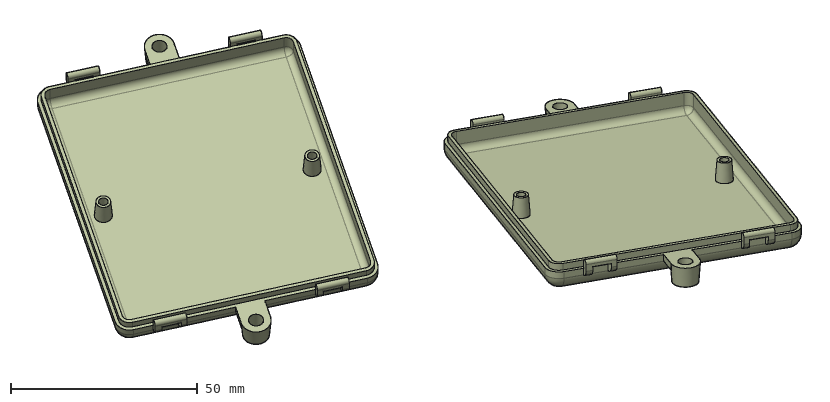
import cadquery as cq
import math

TOTAL_LENGTH = 104.5
LID_LENGTH = 85.0
LID_WIDTH = 73.0
STEP_HEIGHT = 6.0
LIP_HEIGHT = 7.9
EDGE_RADIUS = 4.0
LIP_INSET = 0.99
WALL = 2 * LIP_INSET
FILLET_EASE = 0.01

POST_SPACING = 58.1
POST_BASE_DIAMETER = 5.0
POST_TOP_DIAMETER = 4.0
POST_TOP = LIP_HEIGHT
PILOT_DIAMETER = 2.5

EAR_TOP_DIAMETER = 8.2
EAR_BOTTOM_DIAMETER = 7.3
EAR_HOLE_DIAMETER = 4.0
EAR_X = (TOTAL_LENGTH - EAR_TOP_DIAMETER) / 2
WEB_BOTTOM = EDGE_RADIUS

CLIP_WIDTH = 8.9
CLIP_SPACING = 45.1
CLIP_THICKNESS = 2.0
CLIP_TOP = 9.0
WINDOW_WIDTH = 5.0
WINDOW_TOP = 7.0
WINDOW_FLARE = 0.3


def rounded_block(inset, bottom, top):
    """Plan outline of the lid, moved inwards by inset, extruded from bottom to top."""
    return (
        cq.Workplane("XY")
        .workplane(offset=bottom)
        .rect(LID_LENGTH - 2 * inset, LID_WIDTH - 2 * inset)
        .extrude(top - bottom)
        .edges("|Z")
        .fillet(EDGE_RADIUS - inset)
    )


def rounded_tray(inset, top):
    """Block with a rounded bottom edge that follows the bottom edge of the lid."""
    radius = EDGE_RADIUS - inset
    return rounded_block(inset, inset, top).faces("<Z").edges().fillet(radius - FILLET_EASE)


def cone(x, y, bottom, top, bottom_diameter, top_diameter):
    """Upright tapered pin."""
    return (
        cq.Workplane("XY", origin=(x, y, bottom))
        .circle(bottom_diameter / 2)
        .workplane(offset=top - bottom)
        .circle(top_diameter / 2)
        .loft()
    )


def drill(x, y, bottom, top, diameter):
    """Cutter for a round hole between two heights."""
    return cq.Workplane("XY", origin=(x, y, bottom)).circle(diameter / 2).extrude(top - bottom)


def mounting_ear():
    """Tapered foot and flat web on the +X side, with a screw hole."""
    inside = LID_LENGTH / 2 - LIP_INSET
    web = (
        cq.Workplane("XY", origin=((inside + EAR_X) / 2, 0, WEB_BOTTOM))
        .rect(EAR_X - inside, EAR_TOP_DIAMETER)
        .extrude(STEP_HEIGHT - WEB_BOTTOM)
    )
    foot = cone(EAR_X, 0, 0, STEP_HEIGHT, EAR_BOTTOM_DIAMETER, EAR_TOP_DIAMETER)
    return web.union(foot).cut(drill(EAR_X, 0, 0, STEP_HEIGHT, EAR_HOLE_DIAMETER))


def snap_clip(side):
    """Upright clip on the +X side, with a round top and lower edge and a catch window.

    side is +1 or -1 and picks the clip at positive or negative Y.
    """
    y = side * CLIP_SPACING / 2
    inner = LID_LENGTH / 2
    outer = inner + CLIP_THICKNESS
    arc_end = EDGE_RADIUS + CLIP_THICKNESS
    arc_middle = CLIP_THICKNESS * math.sqrt(0.5)
    round_radius = CLIP_THICKNESS / 2
    clip = (
        cq.Workplane("XZ", origin=(0, y + CLIP_WIDTH / 2, 0))
        .moveTo(inner, EDGE_RADIUS)
        .threePointArc((inner + arc_middle, arc_end - arc_middle), (outer, arc_end))
        .lineTo(outer, CLIP_TOP - round_radius)
        .threePointArc((inner + round_radius, CLIP_TOP), (inner, CLIP_TOP - round_radius))
        .close()
        .extrude(CLIP_WIDTH)
    )
    far_y = y + side * WINDOW_WIDTH / 2
    near_y = y - side * WINDOW_WIDTH / 2
    window = (
        cq.Workplane("XY", origin=(0, 0, EDGE_RADIUS))
        .polyline(
            [
                (inner, near_y),
                (outer, near_y - side * WINDOW_FLARE),
                (outer, far_y),
                (inner, far_y),
            ]
        )
        .close()
        .extrude(WINDOW_TOP - EDGE_RADIUS)
    )
    return clip.cut(window)


result = rounded_tray(0, STEP_HEIGHT)
result = result.union(rounded_block(LIP_INSET, EDGE_RADIUS, LIP_HEIGHT))
result = result.cut(rounded_tray(WALL, LIP_HEIGHT))

for side in (-1, 1):
    post_y = side * POST_SPACING / 2
    result = result.union(cone(0, post_y, WALL / 2, POST_TOP, POST_BASE_DIAMETER, POST_TOP_DIAMETER))
    result = result.cut(drill(0, post_y, WALL, POST_TOP, PILOT_DIAMETER))

side_parts = mounting_ear()
for side in (-1, 1):
    side_parts = side_parts.union(snap_clip(side))
result = result.union(side_parts).union(side_parts.mirror("YZ"))